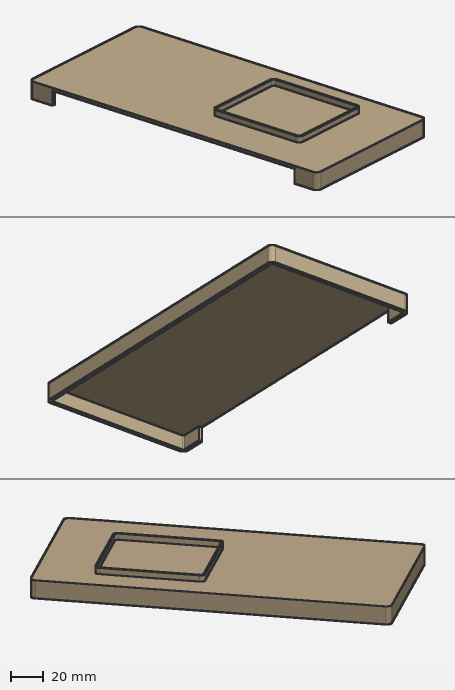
import cadquery as cq

length = 224.6
width = 106.2
total_height = 16.0
corner_radius = 3.4

frame_height = 4.0
plate_thickness = 2.0
wall_thickness = 2.5
front_tab_length = 18.0
body_height = total_height - frame_height
skirt_height = body_height - plate_thickness

frame_length = 68.3
frame_width = 59.5
frame_wall = 1.0
frame_radius = 3.0
frame_left_offset = 119.7
frame_rear_offset = 18.0
frame_center_x = -length / 2 + frame_left_offset + frame_length / 2
frame_center_y = width / 2 - frame_rear_offset - frame_width / 2


def rounded_block(size_x, size_y, height, radius):
    """Block standing on Z = 0 with rounded vertical edges."""
    block = cq.Workplane("XY").box(size_x, size_y, height, centered=(True, True, False))
    return block.edges("|Z").fillet(radius)


def rounded_ring(size_x, size_y, height, radius, wall):
    """Rounded rectangular wall of constant thickness, open at both ends."""
    outer = rounded_block(size_x, size_y, height, radius)
    inner = rounded_block(size_x - 2 * wall, size_y - 2 * wall, height, radius - wall)
    return outer.cut(inner)


def make_skirt():
    """Perimeter wall whose front side is open between two corner tabs."""
    skirt = rounded_ring(length, width, skirt_height, corner_radius, wall_thickness)
    opening = (
        cq.Workplane("XY")
        .box(length - 2 * front_tab_length, wall_thickness, skirt_height, centered=(True, False, False))
        .translate((0, -width / 2, 0))
    )
    return skirt.cut(opening)


plate = rounded_block(length, width, plate_thickness, corner_radius).translate((0, 0, skirt_height))
frame = rounded_ring(frame_length, frame_width, frame_height, frame_radius, frame_wall)
frame = frame.translate((frame_center_x, frame_center_y, body_height))

result = make_skirt().union(plate).union(frame)